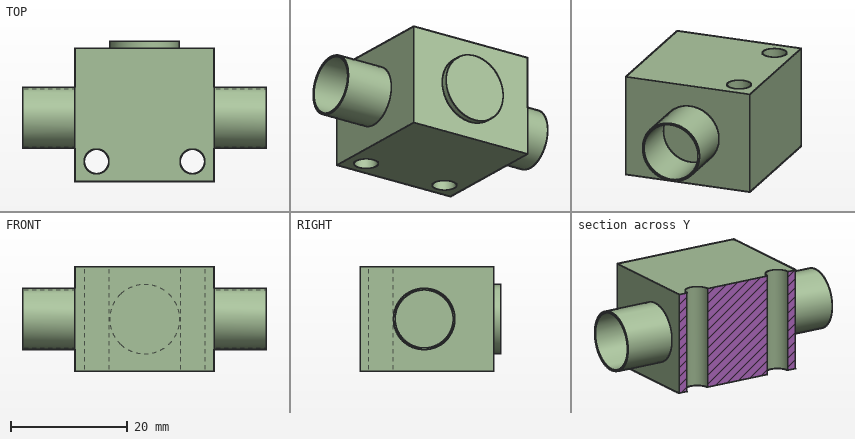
import cadquery as cq

overall_length = 42.0
overall_depth = 24.2
block_height = 18.0

block_length = 24.0
block_depth = 23.0

tube_diameter = 10.6
tube_bore = 10.0
tube_axis_y = 11.0
tube_length = (overall_length - block_length) / 2

boss_diameter = 12.0
boss_height = overall_depth - block_depth

hole_diameter = 4.2
hole_spacing = 16.5
hole_y = 3.5


def make_block():
    block = cq.Workplane("XY").box(block_length, block_depth, block_height)
    return block.translate((0, block_depth / 2, 0))


def make_tube(side):
    """Tube stub standing on the +X (side = 1) or -X (side = -1) face, open down to the block."""
    end_face = cq.Plane(
        origin=(side * block_length / 2, tube_axis_y, 0),
        xDir=(0, 1, 0),
        normal=(side, 0, 0),
    )
    ring = cq.Workplane(end_face).circle(tube_diameter / 2).circle(tube_bore / 2)
    return ring.extrude(tube_length)


def make_boss():
    back_face = cq.Plane(origin=(0, block_depth, 0), xDir=(1, 0, 0), normal=(0, 1, 0))
    return cq.Workplane(back_face).circle(boss_diameter / 2).extrude(boss_height)


def make_mounting_holes():
    return (
        cq.Workplane("XY", origin=(0, hole_y, -block_height / 2))
        .pushPoints([(-hole_spacing / 2, 0), (hole_spacing / 2, 0)])
        .circle(hole_diameter / 2)
        .extrude(block_height)
    )


result = make_block().union(make_boss())
for side in (-1, 1):
    result = result.union(make_tube(side))
result = result.cut(make_mounting_holes())